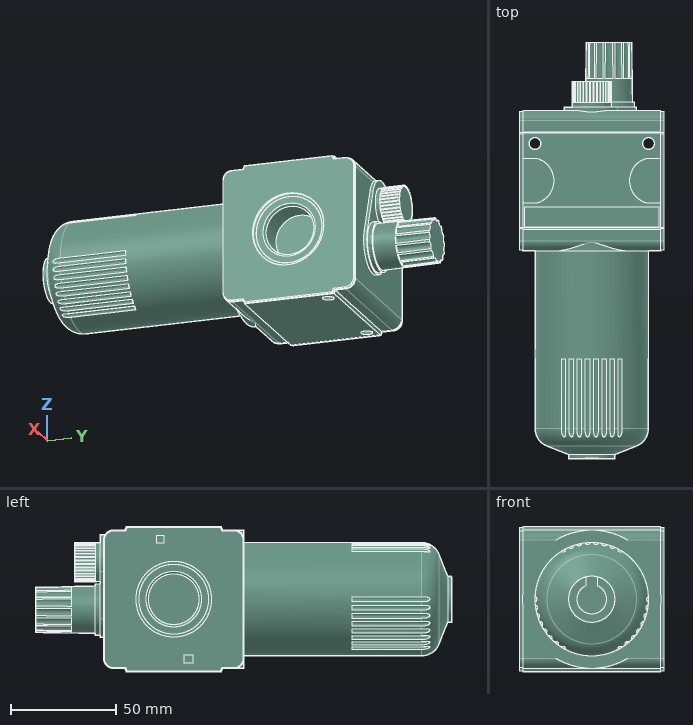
import cadquery as cq
import math


housing_length = 68.8
housing_half_depth = 33.4
body_half_height = 32.95
corner_radius = 4.8
core_half_length = 32.75
cap_inset = 0.4

plate_half_height = 34.6
plate_base_half_depth = 23.25
plate_top_half_depth = 22.6

boss_radius = 32.9
boss_length = corner_radius

mount_hole_diameter = 5.5
mount_hole_x = 27.0
mount_hole_y = 17.7
relief_depth = 0.2
pad_radius = 11.0
pad_width = 21.0
pad_center_x = 29.0
label_half_length = 32.0
label_front = -22.1
label_rear = -12.5

thread_diameter = 24.12
port_depth = 16.5
port_chamfer = 1.15
seal_outer_diameter = 36.0
seal_inner_diameter = 33.2
seal_outer_depth = 1.2
seal_inner_depth = 1.4

pocket_depth = 1.5
pockets = [(6.4, 28.5, 3.5, 3.7), (-7.0, -28.4, 4.1, 3.7)]

small_knob_x = 0.0
small_knob_z = 17.6
large_knob_x = 8.2
large_knob_z = -5.0

base_radius = 13.1
base_top = 35.0

collar_diameter = 18.6
small_knob_diameter = 19.0
small_knob_bottom = 37.3
small_knob_top = 47.2
knurl_count = 36
knurl_radius = 0.6

flange_diameter = 24.5
flange_top = 37.4
large_knob_top = 65.75
large_knob_top_radius = 10.9
large_knob_base_radius = 11.3
flute_bottom = 48.7
flute_count = 15
flute_radius = 2.1
flute_axis_radius = 12.0

bowl_radius = 27.0
shoulder_start = -117.9
shoulder_radius = 9.0
cone_radius = 21.3
nub_radius = 11.0
bowl_bottom = -132.35

nub_recess_diameter = 14.0
nub_slot_width = 5.6
nub_recess_depth = 0.5

rib_groups = 3
grooves_per_group = 8
group_half_angle = 30.0
groove_radius = 1.2
groove_axis_radius = 27.3
groove_start = -84.9


def cylinder_y(radius, y_from, y_to, x=0.0, z=0.0):
    """Cylinder along Y between two Y positions."""
    return cq.Workplane("XY").add(
        cq.Solid.makeCylinder(radius, y_to - y_from, cq.Vector(x, y_from, z), cq.Vector(0, 1, 0))
    )


def cylinder_x(radius, x_from, x_to):
    """Cylinder on the port axis between two X positions."""
    return cq.Workplane("XY").add(
        cq.Solid.makeCylinder(radius, x_to - x_from, cq.Vector(x_from, 0, 0), cq.Vector(1, 0, 0))
    )


def block_section(inset, half_length):
    """Rounded block with its two raised plates, all faces moved inward by the inset."""
    block = (
        cq.Workplane("XY")
        .box(2 * half_length, 2 * (housing_half_depth - inset), 2 * (body_half_height - inset))
        .edges("|X")
        .fillet(corner_radius - inset)
    )
    base = plate_base_half_depth - inset
    top = plate_top_half_depth - inset
    shoulder = body_half_height - inset
    height = plate_half_height - inset
    plates = (
        cq.Workplane("YZ")
        .polyline([
            (base, -shoulder), (base, shoulder), (top, height), (-top, height),
            (-base, shoulder), (-base, -shoulder), (-top, -height), (top, -height),
        ])
        .close()
        .extrude(half_length, both=True)
    )
    return block.union(plates)


def make_block():
    caps = block_section(cap_inset, housing_length / 2)
    core = block_section(0.0, core_half_length)
    boss = cylinder_y(boss_radius, -housing_half_depth, boss_length - housing_half_depth)
    return caps.union(core).union(boss)


def plate_details():
    """Mounting holes, half-round pads and label field cut into the upper plate."""
    cut = (
        cq.Workplane("XY")
        .pushPoints([(-mount_hole_x, mount_hole_y), (mount_hole_x, mount_hole_y)])
        .circle(mount_hole_diameter / 2)
        .extrude(plate_half_height + 1, both=True)
    )
    relief = cq.Workplane("XY", origin=(0, 0, plate_half_height - relief_depth))
    pad_strip = relief.rect(2 * core_half_length, pad_width).extrude(relief_depth)
    pads = (
        relief.pushPoints([(-pad_center_x, 0), (pad_center_x, 0)])
        .circle(pad_radius)
        .extrude(relief_depth)
        .intersect(pad_strip)
    )
    label = (
        relief.center(0, (label_front + label_rear) / 2)
        .rect(2 * label_half_length, label_rear - label_front)
        .extrude(relief_depth)
    )
    return cut.union(pads).union(label)


def port_cut():
    """Port on the -X face: stepped seal recess, entry chamfer and blind bore."""
    face = -housing_length / 2
    seat = face + seal_inner_depth
    bore_radius = thread_diameter / 2
    outer_recess = cylinder_x(seal_outer_diameter / 2, face, face + seal_outer_depth)
    inner_recess = cylinder_x(seal_inner_diameter / 2, face, seat)
    entry = cq.Workplane("XY").add(
        cq.Solid.makeCone(
            bore_radius + port_chamfer, bore_radius, port_chamfer,
            cq.Vector(seat, 0, 0), cq.Vector(1, 0, 0),
        )
    )
    bore = cylinder_x(bore_radius, seat, face + port_depth)
    return outer_recess.union(inner_recess).union(entry).union(bore)


def make_base_plate():
    """Band around both knob axes: two discs joined by a bar as wide as they are."""
    start = housing_half_depth - corner_radius
    length = base_top - start
    run_x = large_knob_x - small_knob_x
    run_z = large_knob_z - small_knob_z
    middle = ((small_knob_x + large_knob_x) / 2, start, (small_knob_z + large_knob_z) / 2)
    plane = cq.Plane(origin=middle, xDir=(run_x, 0, run_z), normal=(0, 1, 0))
    distance = math.hypot(run_x, run_z)
    return cq.Workplane(plane).slot2D(distance + 2 * base_radius, 2 * base_radius).extrude(length)


def ring_of_cutters(count, cutter_radius, axis_radius, x, z, y_from, y_to):
    """Round cutters along Y on a circle around a knob axis, the first on its +Z side."""
    cutters = []
    for index in range(count):
        angle = math.radians(90 + index * 360 / count)
        cutter_x = x + axis_radius * math.cos(angle)
        cutter_z = z + axis_radius * math.sin(angle)
        cutters.append(cylinder_y(cutter_radius, y_from, y_to, cutter_x, cutter_z).val())
    return cq.Workplane("XY").newObject([cq.Compound.makeCompound(cutters)])


def make_small_knob():
    collar = cylinder_y(collar_diameter / 2, base_top, small_knob_bottom, small_knob_x, small_knob_z)
    radius = small_knob_diameter / 2
    grip = cylinder_y(radius, small_knob_bottom, small_knob_top, small_knob_x, small_knob_z)
    knurl = ring_of_cutters(
        knurl_count, knurl_radius, radius, small_knob_x, small_knob_z, small_knob_bottom, small_knob_top
    )
    return collar.union(grip.cut(knurl))


def make_large_knob():
    flange = cylinder_y(flange_diameter / 2, base_top, flange_top, large_knob_x, large_knob_z)
    grip = cq.Workplane("XY").add(
        cq.Solid.makeCone(
            large_knob_base_radius, large_knob_top_radius, large_knob_top - flange_top,
            cq.Vector(large_knob_x, flange_top, large_knob_z), cq.Vector(0, 1, 0),
        )
    )
    flutes = ring_of_cutters(
        flute_count, flute_radius, flute_axis_radius,
        large_knob_x, large_knob_z, flute_bottom, large_knob_top,
    )
    return flange.union(grip.cut(flutes))


def make_housing():
    body = make_block().cut(plate_details())
    port = port_cut()
    body = body.cut(port).cut(port.mirror("YZ"))
    for y, z, length, height in pockets:
        pocket = cq.Workplane("XY").box(2 * pocket_depth, length, height)
        body = body.cut(pocket.translate((-housing_length / 2, y, z)))
    return body.union(make_base_plate()).union(make_small_knob()).union(make_large_knob())


def make_bowl_blank():
    """Turned bowl: straight wall, rounded shoulder, tangent cone and a flat nub."""
    arc_center = bowl_radius - shoulder_radius
    end_angle = math.acos((cone_radius - arc_center) / shoulder_radius)
    mid_angle = end_angle / 2
    arc_mid = (
        arc_center + shoulder_radius * math.cos(mid_angle),
        shoulder_start - shoulder_radius * math.sin(mid_angle),
    )
    arc_end = (cone_radius, shoulder_start - shoulder_radius * math.sin(end_angle))
    cone_end = (nub_radius, arc_end[1] - (cone_radius - nub_radius) / math.tan(end_angle))
    return (
        cq.Workplane("XY")
        .moveTo(0, -housing_half_depth)
        .lineTo(bowl_radius, -housing_half_depth)
        .lineTo(bowl_radius, shoulder_start)
        .threePointArc(arc_mid, arc_end)
        .lineTo(*cone_end)
        .lineTo(nub_radius, bowl_bottom)
        .lineTo(0, bowl_bottom)
        .close()
        .revolve(360, (0, 0, 0), (0, 1, 0))
    )


def grip_grooves():
    """Groups of grooves along the bowl, one group on top and the others evenly around."""
    pitch = 2 * group_half_angle / (grooves_per_group - 1)
    cutters = []
    for group in range(rib_groups):
        first_angle = 90 + group * 360 / rib_groups - group_half_angle
        for index in range(grooves_per_group):
            angle = math.radians(first_angle + index * pitch)
            x = groove_axis_radius * math.cos(angle)
            z = groove_axis_radius * math.sin(angle)
            cutters.append(cylinder_y(groove_radius, bowl_bottom, groove_start, x, z).val())
    return cq.Workplane("XY").newObject([cq.Compound.makeCompound(cutters)])


def nub_recess():
    """Shallow round recess in the nub with a slot leading out to +Z."""
    top = bowl_bottom + nub_recess_depth
    disc = cylinder_y(nub_recess_diameter / 2, bowl_bottom, top)
    slot = cq.Workplane("XY").box(nub_slot_width, nub_recess_depth, nub_radius)
    return disc.union(slot.translate((0, bowl_bottom + nub_recess_depth / 2, nub_radius / 2)))


def make_bowl():
    return make_bowl_blank().cut(grip_grooves()).cut(nub_recess())


housing = make_housing()
bowl = make_bowl()

result = cq.Compound.makeCompound([housing.val(), bowl.val()])